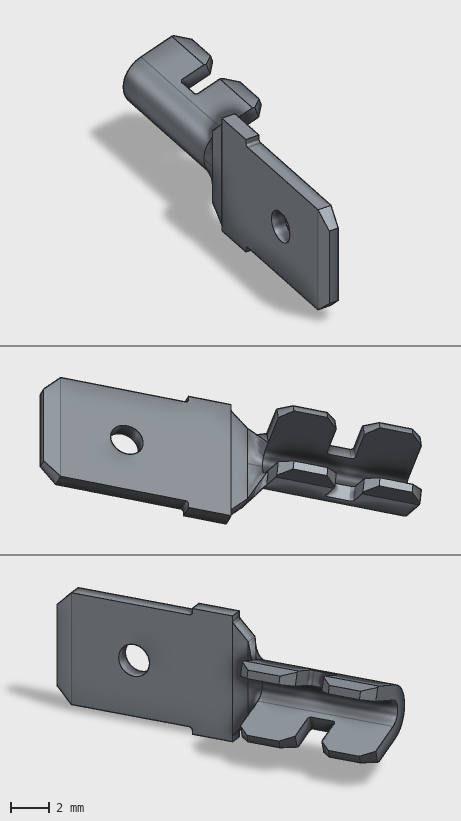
import cadquery as cq
import math


sheet = 0.81

barrel_length = 7.95
outer_radius = 1.6
leg_tilt = 18.0
barrel_height = 3.99

notch_start = 3.17
notch_end = 4.73
notch_floor_height = 1.54
notch_corner_radius = 0.17
coin_start_height = 3.02
tip_thickness = 0.45
finger_chamfer_x = 0.67
finger_chamfer_leg = 0.62

transition_end = 8.78
bend_steps = 4
transition_edge_height = 1.52

neck_half_width = 2.27
shoulder_start = 9.69
shoulder_end = 12.06
shoulder_half_width = 3.57
blade_offset = 0.015
tab_half_width = 3.175
corner_radius = 0.18
total_length = 20.07
tip_length = 0.91
tip_half_width = 2.3
tip_end_thickness = 0.56
hole_x = 15.48
hole_diameter = 1.8

cutter_margin = 1.0

tilt = math.radians(leg_tilt)
leg_y, leg_z = math.cos(tilt), math.sin(tilt)
normal_y, normal_z = -math.sin(tilt), math.cos(tilt)
tangent_y = outer_radius * (1 + normal_y)
tangent_z = outer_radius * normal_z


def leg_point(distance, depth):
    """(Y, Z) of a point along the leg from the bend tangent, at a depth below the outer face."""
    return (
        tangent_y + distance * leg_y - depth * normal_y,
        tangent_z + distance * leg_z - depth * normal_z,
    )


def leg_distance(height, depth=0.0):
    """Distance along the leg at which a point at the given depth reaches the given Y."""
    return (height - tangent_y + depth * normal_y) / leg_y


def mirrored(point):
    """A point of the +Z half carried to the -Z half."""
    return (point[0], -point[1])


leg_length = leg_distance(barrel_height, sheet)
notch_floor = leg_distance(notch_floor_height)
coin_start = leg_distance(coin_start_height)
transition_leg = leg_distance(transition_edge_height)


def barrel_section():
    """U outline whose outer faces are coined thinner toward the finger tips."""
    outer_tangent = leg_point(0, 0)
    inner_tangent = leg_point(0, sheet)
    upper_leg = [
        leg_point(coin_start, 0),
        leg_point(leg_length, sheet - tip_thickness),
        leg_point(leg_length, sheet),
    ]
    outline = cq.Workplane("YZ").moveTo(*mirrored(outer_tangent))
    outline = outline.threePointArc((0, 0), outer_tangent)
    for point in upper_leg + [inner_tangent]:
        outline = outline.lineTo(*point)
    outline = outline.threePointArc((sheet, 0), mirrored(inner_tangent))
    for point in reversed(upper_leg):
        outline = outline.lineTo(*mirrored(point))
    return outline.close()


def leg_cutter(points):
    """Prism with an outline of (x, distance along leg), cutting through the +Z leg."""
    outside_y, outside_z = leg_point(0, -cutter_margin)
    plane = cq.Plane(
        origin=(0, outside_y, outside_z),
        xDir=(1, 0, 0),
        normal=(0, normal_y, normal_z),
    )
    return cq.Workplane(plane).polyline(points).close().extrude(-(sheet + 2 * cutter_margin))


def finger_corner(x, inward):
    """Cutter that chamfers one finger corner; inward is the X direction into the finger."""
    return leg_cutter([
        (x, leg_length - finger_chamfer_leg),
        (x, leg_length + cutter_margin),
        (x + inward * finger_chamfer_x, leg_length + cutter_margin),
        (x + inward * finger_chamfer_x, leg_length),
    ])


def notch():
    """Cutter for the gap between the two fingers of a leg, with rounded floor corners."""
    cutter = leg_cutter([
        (notch_start, notch_floor),
        (notch_end, notch_floor),
        (notch_end, leg_length + cutter_margin),
        (notch_start, leg_length + cutter_margin),
    ])
    normal_edges = cq.selectors.ParallelDirSelector(cq.Vector(0, normal_y, normal_z))
    floor_edges = cq.selectors.DirectionMinMaxSelector(cq.Vector(0, leg_y, leg_z), False)
    return cutter.edges(normal_edges).edges(floor_edges).fillet(notch_corner_radius)


def make_barrel():
    """U-shaped barrel with two chamfered fingers on each leg."""
    barrel = barrel_section().extrude(barrel_length)
    cutters = [
        notch(),
        finger_corner(0, 1),
        finger_corner(notch_start, -1),
        finger_corner(notch_end, 1),
        finger_corner(barrel_length, -1),
    ]
    for cutter in cutters:
        barrel = barrel.cut(cutter).cut(cutter.mirror("XY"))
    return barrel


def half_u_curve(depth):
    """Points on the +Z half of the U, from the middle of the bend to the leg end, at a depth."""
    radius = outer_radius - depth
    bend = []
    for step in range(bend_steps + 1):
        angle = (math.pi / 2 - tilt) * step / bend_steps
        bend.append((outer_radius - radius * math.cos(angle), radius * math.sin(angle)))
    return bend + [leg_point(transition_leg / 2, depth), leg_point(transition_leg, depth)]


def make_transition():
    """Ruled loft from the lower part of the U to the flat neck, with one smooth face on each side."""
    outer = half_u_curve(0)
    inner = half_u_curve(sheet)
    start = (
        cq.Workplane("YZ", origin=(barrel_length, 0, 0))
        .moveTo(*outer[0])
        .spline(outer[1:], tangents=[(0, 1), (leg_y, leg_z)], includeCurrent=True)
        .lineTo(*inner[-1])
        .spline(inner[-2::-1], tangents=[(-leg_y, -leg_z), (0, -1)], includeCurrent=True)
        .close()
    )
    end = (
        cq.Workplane("YZ", origin=(transition_end, 0, 0))
        .lineTo(0, neck_half_width)
        .lineTo(sheet, neck_half_width)
        .lineTo(sheet, 0)
        .close()
    )
    upper_half = cq.Workplane(cq.Solid.makeLoft([start.val(), end.val()], True))
    return upper_half.union(upper_half.mirror("XY"))


def plate(upper):
    """Sheet with an (X, Z) outline mirrored about Z = 0, from Y = 0 toward +Y."""
    outline = upper + [mirrored(point) for point in reversed(upper)]
    return cq.Workplane("XZ").polyline(outline).close().extrude(-sheet)


def round_corners(body, x):
    """Fillet the two inside corners at the given X where the outline steps out to the shoulder."""
    for z in (-tab_half_width, tab_half_width):
        corner = cq.selectors.NearestToPointSelector((x, sheet / 2, z))
        body = body.edges("|Y").edges(corner).fillet(corner_radius)
    return body


def make_blade():
    """Neck, shoulder and tab with its tapered tip and latch hole."""
    neck_outline = [
        (transition_end, neck_half_width),
        (shoulder_start, tab_half_width),
    ]
    tab_outline = [
        (shoulder_start, shoulder_half_width),
        (shoulder_end, shoulder_half_width),
        (shoulder_end, tab_half_width),
        (total_length - tip_length, tab_half_width),
        (total_length, tip_half_width),
    ]
    blade = plate(neck_outline + tab_outline)
    for x in (shoulder_start, shoulder_end):
        blade = round_corners(blade, x)

    taper = (sheet - tip_end_thickness) / 2
    tip_start = total_length - tip_length
    for face, end_face in ((0, taper), (sheet, sheet - taper)):
        wedge = (
            cq.Workplane("XY", origin=(0, 0, -shoulder_half_width))
            .polyline([(tip_start, face), (total_length, end_face), (total_length, face)])
            .close()
            .extrude(2 * shoulder_half_width)
        )
        blade = blade.cut(wedge)

    hole = cq.Workplane("XZ").center(hole_x, 0).circle(hole_diameter / 2).extrude(-sheet)
    blade = blade.cut(hole)

    neck_zone = cq.Workplane("XY").box(
        2 * shoulder_start, 2 * shoulder_half_width, 2 * shoulder_half_width
    )
    neck = blade.intersect(neck_zone)
    tab = blade.cut(neck_zone).translate((0, blade_offset, 0))
    return neck.union(tab)


result = make_barrel().union(make_transition()).union(make_blade())